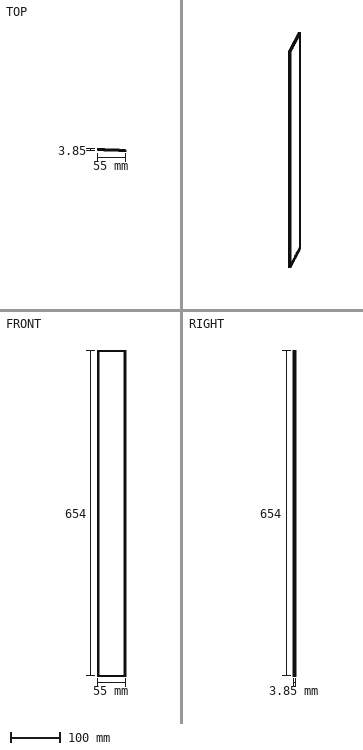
import cadquery as cq
import math

length = 654.0
width = 55.0
depth = 3.85
thickness = 2.0
bevel_angle = 30.0

half_width = width / 2
half_depth = depth / 2
bevel = thickness * math.tan(math.radians(bevel_angle))

section = [
    (-half_width, half_depth),
    (-half_width + bevel, half_depth - thickness),
    (half_width, -half_depth),
    (half_width - bevel, thickness - half_depth),
]

result = cq.Workplane("XY").polyline(section).close().extrude(length / 2, both=True)